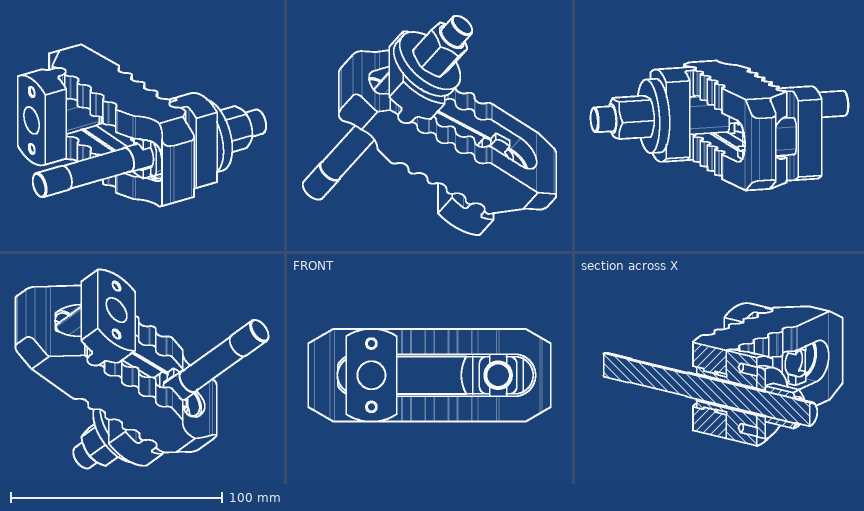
import cadquery as cq
import math


arm_half_height = 22.0
arm_half_thickness = 13.35
arm_left = -90.0
arm_right = 25.0
end_chamfer_length = 12.0
end_chamfer_angle = math.radians(30)
arm_round = 3.0

left_head_top = 11.0
left_head_bottom = -1.0
left_ramp_start = -77.0
left_ramp_angle = math.radians(5)
left_slope_start = -78.5
right_crest_end = 8.8
right_head_top = 8.8

heel_arc_radius = 14.0
heel_arc_x = 11.2
heel_arc_y = -18.3
heel_corner_x = -0.2
heel_round = 2.5
toe_x = 22.1
toe_y = -5.85
toe_radius = 2.5
toe_flank_top = -4.0

groove_radius = 4.0
groove_depth = 3.0
groove_pitch = 11.0
groove_count = 5
crest_round = 2.5
upper_groove_first_x = -44.0
lower_groove_first_x = -60.0
groove_bottom = arm_half_thickness - groove_depth

slot_left_center = -67.25
slot_right_center = 7.75
pocket_width = 20.0
rib_gap = 17.7
rib_half_thickness = 3.5

lower_block_x = lower_groove_first_x
block_width = 24.0
block_diameter = 2 * arm_half_height
block_thickness = 11.8
nose_length = 6.85
nose_root_round = 1.5
neck_corner_radius = 3.5
key_end_y = -7.75
block_bore = 13.2
tapped_hole_diameter = 4.2
tapped_hole_mouth = 5.2
tapped_hole_depth = 10.0
tapped_hole_offset = 15.0
drill_point_half_angle = math.radians(59)
block_face = groove_bottom + nose_length
block_top = block_face + block_thickness

washer_diameter = 35.0
washer_thickness = 5.0
washer_bore = 13.0
washer_top = block_top + washer_thickness

nut_across_flats = 18.0
nut_height = 18.0
nut_chamfer_angle = math.radians(30)
nut_top_radius = 7.0
nut_bottom_radius = 9.5
nut_top = washer_top + nut_height

thread_diameter = 12.0
shank_diameter = 11.4
thread_chamfer = 0.5
stud_top = 61.0
stud_length = 125.0
upper_thread_length = 75.0
lower_thread_length = 15.0


def plane_across_y(y, x=0.0):
    """Workplane at height y with local axes X and -Z; extrudes run toward +Y."""
    return cq.Workplane(cq.Plane(origin=(x, y, 0), xDir=(1, 0, 0), normal=(0, 1, 0)))


def revolve_about_y(profile, z=0.0):
    """Solid of revolution about an axis parallel to Y at height z, from (radius, y) points."""
    turned = cq.Workplane("XY").polyline(profile).close().revolve(360, (0, 0, 0), (0, 1, 0))
    return turned.translate((0, 0, z))


def arm_blank():
    """Arm outline without grooves or slot, extruded over the full height and rounded at its corners."""
    crest = arm_half_thickness
    ramp_end = left_ramp_start + (crest - left_head_top) / math.tan(left_ramp_angle)
    left_slope_end = left_slope_start + (left_head_bottom + crest)
    right_slope_end = right_crest_end + (crest - right_head_top)

    heel_corner_y = heel_arc_y + math.sqrt(heel_arc_radius**2 - (heel_corner_x - heel_arc_x) ** 2)
    heel_arc_top = (heel_arc_x, heel_arc_y + heel_arc_radius)

    last_crest_x = lower_groove_first_x + (groove_count - 0.5) * groove_pitch
    corner_run = heel_corner_x - last_crest_x
    corner_rise = heel_corner_y + crest - crest_round
    corner_gap = math.hypot(corner_run, corner_rise)
    ramp_angle = math.atan2(corner_rise, corner_run) + math.asin(crest_round / corner_gap)
    heel_ramp_start = last_crest_x + crest_round * math.tan(ramp_angle / 2)

    toe_run = toe_x - heel_arc_x
    toe_rise = toe_y - heel_arc_y
    center_gap = math.hypot(toe_run, toe_rise)
    flank_swing = math.acos((heel_arc_radius + toe_radius) / center_gap)
    flank_normal = math.atan2(toe_rise, toe_run) + flank_swing
    normal_x = math.cos(flank_normal)
    normal_y = math.sin(flank_normal)
    heel_arc_end = (heel_arc_x + heel_arc_radius * normal_x, heel_arc_y + heel_arc_radius * normal_y)
    toe_arc_end = (toe_x - toe_radius * normal_x, toe_y - toe_radius * normal_y)

    outline = (
        cq.Workplane("XY", origin=(0, 0, -arm_half_height))
        .moveTo(arm_left, left_head_bottom)
        .lineTo(arm_left, left_head_top)
        .lineTo(left_ramp_start, left_head_top)
        .lineTo(ramp_end, crest)
        .lineTo(right_crest_end, crest)
        .lineTo(right_slope_end, right_head_top)
        .lineTo(arm_right, right_head_top)
        .lineTo(arm_right, toe_flank_top)
        .lineTo(toe_x + toe_radius, toe_y)
        .threePointArc((toe_x, toe_y - toe_radius), toe_arc_end)
        .lineTo(*heel_arc_end)
        .threePointArc(heel_arc_top, (heel_corner_x, heel_corner_y))
        .lineTo(heel_ramp_start, -crest)
        .lineTo(left_slope_end, -crest)
        .lineTo(left_slope_start, left_head_bottom)
        .close()
    )
    blank = outline.extrude(2 * arm_half_height)
    rounded_corners = [
        (arm_left, left_head_bottom, arm_round),
        (arm_left, left_head_top, arm_round),
        (left_slope_start, left_head_bottom, arm_round),
        (right_slope_end, right_head_top, arm_round),
        (arm_right, right_head_top, arm_round),
        (heel_corner_x, heel_corner_y, heel_round),
        (heel_ramp_start, -crest, crest_round),
    ]
    for x, y, radius in rounded_corners:
        blank = blank.edges(cq.selectors.NearestToPointSelector((x, y, 0))).fillet(radius)
    return blank


def groove_cutter(x, side):
    """Round groove across the arm at x; side is +1 for the upper face and -1 for the lower one.

    Short straight walls, tangent to both arcs, join the groove to a crest round on each side.
    A crest round peaks half a pitch from the groove, so neighbouring grooves share it.
    """
    crest = side * arm_half_thickness
    axis_y = side * (groove_bottom + groove_radius)
    half_pitch = groove_pitch / 2
    center_drop = groove_radius - groove_depth + crest_round
    center_gap = math.hypot(half_pitch, center_drop)
    wall_swing = math.acos((groove_radius + crest_round) / center_gap)
    wall_normal = math.atan2(center_drop, half_pitch) + wall_swing
    groove_end_x = groove_radius * math.cos(wall_normal)
    groove_end_y = axis_y - side * groove_radius * math.sin(wall_normal)

    def crest_point(angle):
        """Point on the right-hand crest round; the angle runs from level to the peak."""
        offset_x = half_pitch - crest_round * math.cos(angle)
        return offset_x, crest - side * crest_round * (1 - math.sin(angle))

    wall_x, wall_y = crest_point(wall_normal)
    mid_x, mid_y = crest_point((wall_normal + math.pi / 2) / 2)
    return (
        cq.Workplane("XY", origin=(x, 0, -arm_half_height))
        .moveTo(-half_pitch, crest)
        .threePointArc((-mid_x, mid_y), (-wall_x, wall_y))
        .lineTo(-groove_end_x, groove_end_y)
        .threePointArc((0, side * groove_bottom), (groove_end_x, groove_end_y))
        .lineTo(wall_x, wall_y)
        .threePointArc((mid_x, mid_y), (half_pitch, crest))
        .lineTo(half_pitch, axis_y)
        .lineTo(-half_pitch, axis_y)
        .close()
        .extrude(2 * arm_half_height)
    )


def slot_cutter(width, y_start, y_end):
    """Round-ended slot along X, cut from y_start to y_end."""
    length = slot_right_center - slot_left_center + width
    middle_x = (slot_left_center + slot_right_center) / 2
    return plane_across_y(y_start, middle_x).slot2D(length, width).extrude(y_end - y_start)


def end_chamfer_envelope():
    """Prism along Y around the whole arm, with its four corners cut at the end chamfer angle."""
    drop = end_chamfer_length * math.tan(end_chamfer_angle)
    tip_half_height = arm_half_height - drop
    left_shoulder = arm_left + end_chamfer_length
    right_shoulder = arm_right - end_chamfer_length
    corners = [
        (arm_left, -tip_half_height),
        (left_shoulder, -arm_half_height),
        (right_shoulder, -arm_half_height),
        (arm_right, -tip_half_height),
        (arm_right, tip_half_height),
        (right_shoulder, arm_half_height),
        (left_shoulder, arm_half_height),
        (arm_left, tip_half_height),
    ]
    return plane_across_y(-arm_half_thickness).polyline(corners).close().extrude(2 * arm_half_thickness)


def make_arm():
    arm = arm_blank()
    for index in range(groove_count):
        arm = arm.cut(groove_cutter(upper_groove_first_x + index * groove_pitch, 1))
    for index in range(groove_count):
        arm = arm.cut(groove_cutter(lower_groove_first_x + index * groove_pitch, -1))
    arm = arm.intersect(end_chamfer_envelope())
    arm = arm.cut(slot_cutter(rib_gap, -arm_half_thickness, arm_half_thickness))
    arm = arm.cut(slot_cutter(pocket_width, -arm_half_thickness, -rib_half_thickness))
    arm = arm.cut(slot_cutter(pocket_width, rib_half_thickness, arm_half_thickness))
    return arm


def tapped_hole_cutter(z):
    """Blind hole from the outer face with a countersunk mouth and a drill point."""
    radius = tapped_hole_diameter / 2
    mouth_radius = tapped_hole_mouth / 2
    mouth_depth = mouth_radius - radius
    bottom = block_top - tapped_hole_depth
    point = bottom - radius / math.tan(drill_point_half_angle)
    profile = [
        (0, block_top),
        (mouth_radius, block_top),
        (radius, block_top - mouth_depth),
        (radius, bottom),
        (0, point),
    ]
    return revolve_about_y(profile, z=z)


def make_block():
    """Support block on the stud axis, above the arm."""
    half_width = block_width / 2
    nose_flank_y = groove_bottom + groove_radius
    body = (
        cq.Workplane("XY", origin=(0, 0, -arm_half_height))
        .moveTo(-half_width, block_top)
        .lineTo(half_width, block_top)
        .lineTo(half_width, block_face)
        .lineTo(groove_radius + nose_root_round, block_face)
        .radiusArc((groove_radius, block_face - nose_root_round), -nose_root_round)
        .lineTo(groove_radius, nose_flank_y)
        .threePointArc((0, groove_bottom), (-groove_radius, nose_flank_y))
        .lineTo(-groove_radius, block_face - nose_root_round)
        .radiusArc((-groove_radius - nose_root_round, block_face), -nose_root_round)
        .lineTo(-half_width, block_face)
        .close()
        .extrude(2 * arm_half_height)
    )
    disc = plane_across_y(groove_bottom).circle(block_diameter / 2).extrude(block_top - groove_bottom)
    body = body.intersect(disc)

    neck_length = block_face + rib_half_thickness
    neck = plane_across_y(-rib_half_thickness).rect(rib_gap, rib_gap).extrude(neck_length)
    neck = neck.edges("|Y").fillet(neck_corner_radius)
    key_length = -rib_half_thickness - key_end_y
    key = plane_across_y(key_end_y).rect(2 * groove_radius, pocket_width).extrude(key_length)
    block = body.union(neck).union(key)

    bore = plane_across_y(key_end_y).circle(block_bore / 2).extrude(block_top - key_end_y)
    block = block.cut(bore)
    for z in (-tapped_hole_offset, tapped_hole_offset):
        block = block.cut(tapped_hole_cutter(z))
    return block


def make_washer():
    washer = plane_across_y(block_top).circle(washer_diameter / 2).circle(washer_bore / 2)
    return washer.extrude(washer_thickness)


def make_nut():
    """Hexagon nut with corners along X, its corners turned off by cones at both ends."""
    across_corners = nut_across_flats / math.cos(math.pi / 6)
    corner_radius = across_corners / 2
    top_chamfer = (corner_radius - nut_top_radius) * math.tan(nut_chamfer_angle)
    bottom_chamfer = (corner_radius - nut_bottom_radius) * math.tan(nut_chamfer_angle)
    envelope = [
        (0, washer_top),
        (nut_bottom_radius, washer_top),
        (corner_radius, washer_top + bottom_chamfer),
        (corner_radius, nut_top - top_chamfer),
        (nut_top_radius, nut_top),
        (0, nut_top),
    ]
    hexagon = plane_across_y(washer_top).polygon(6, across_corners).extrude(nut_height)
    bore = plane_across_y(washer_top).circle(thread_diameter / 2).extrude(nut_height)
    return hexagon.intersect(revolve_about_y(envelope)).cut(bore)


def make_stud():
    """Stud with a long upper thread, a thinner shank and a short lower thread."""
    thread_radius = thread_diameter / 2
    shank_radius = shank_diameter / 2
    shank_step = thread_radius - shank_radius
    end_radius = thread_radius - thread_chamfer
    stud_bottom = stud_top - stud_length
    shank_top = stud_top - upper_thread_length
    shank_bottom = stud_bottom + lower_thread_length
    profile = [
        (0, stud_top),
        (end_radius, stud_top),
        (thread_radius, stud_top - thread_chamfer),
        (thread_radius, shank_top),
        (shank_radius, shank_top),
        (shank_radius, shank_bottom),
        (thread_radius, shank_bottom - shank_step),
        (thread_radius, stud_bottom + thread_chamfer),
        (end_radius, stud_bottom),
        (0, stud_bottom),
    ]
    return revolve_about_y(profile)


arm = make_arm()
upper_block = make_block()
lower_block = make_block().rotate((0, 0, 0), (0, 0, 1), 180).translate((lower_block_x, 0, 0))
washer = make_washer()
nut = make_nut()
stud = make_stud()

result = cq.Compound.makeCompound(
    [arm.val(), upper_block.val(), lower_block.val(), washer.val(), nut.val(), stud.val()]
)